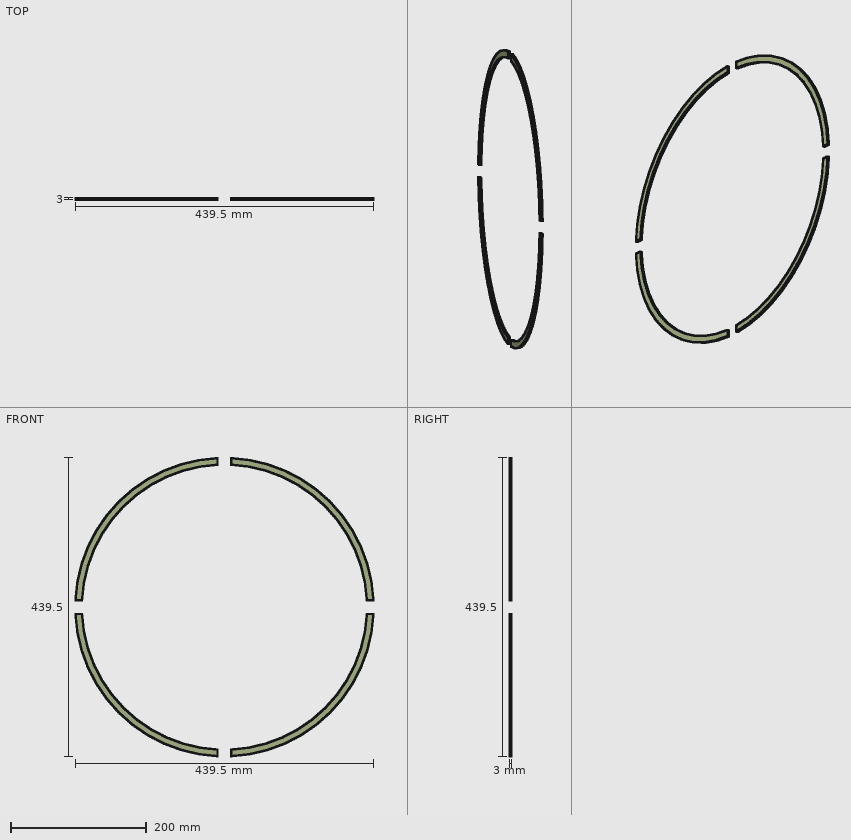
import cadquery as cq

outer_radius = 220.0
ring_width = 10.0
inner_radius = outer_radius - ring_width
thickness = 3.0
gap = 20.0
segment_count = 4


def ring_segment(angle):
    """One quarter of the ring, turned about Y; its ends lie half a gap from the X and Z axes."""
    ring = (
        cq.Workplane("XZ")
        .circle(outer_radius)
        .circle(inner_radius)
        .extrude(thickness / 2, both=True)
    )
    quadrant = (
        cq.Workplane("XZ")
        .moveTo(gap / 2, gap / 2)
        .rect(outer_radius, outer_radius, centered=False)
        .extrude(thickness / 2, both=True)
    )
    return ring.intersect(quadrant).rotate((0, 0, 0), (0, 1, 0), angle)


segments = [ring_segment(index * 360 / segment_count) for index in range(segment_count)]

result = cq.Compound.makeCompound([segment.solids().val() for segment in segments])